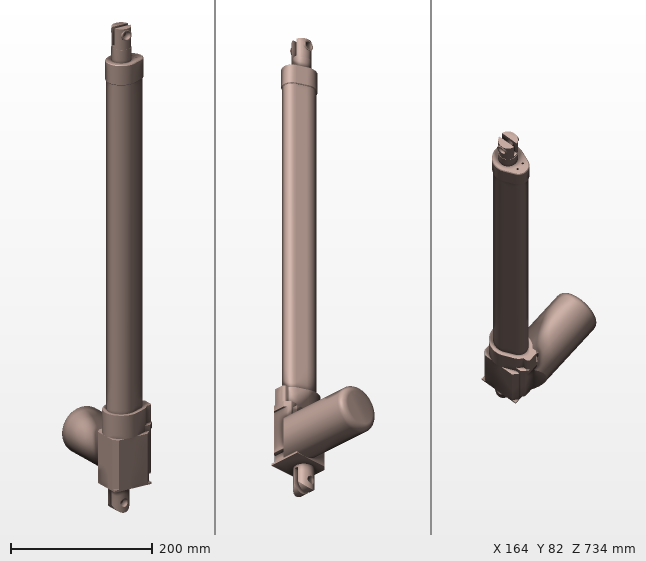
import cadquery as cq
import math


overall_width = 164.0
overall_depth = 82.0

total_height = 734.0
rod_clevis_bottom = 702.5
upper_collar_top = 682.5
upper_collar_bottom = 652.0
lower_collar_top = 152.0
housing_top = 117.0
housing_bottom = 39.0

tube_radius = 21.0
tube_nose_radius = 14.0
nose_offset = 19.0
upper_collar_wall = 1.5
lower_collar_wall = 6.0
upper_collar_chamfer = 1.1

rod_diameter = 28.5
rod_clevis_diameter = 28.0
rod_pin_diameter = 12.5
rod_bushing_diameter = 16.0
rod_bushing_half_length = 15.0
rod_pin_height = 724.0
rod_slot_bottom = 706.0
slot_width = 6.5

screw_diameter = 3.2
screw_depth = 6.0
screw_spacing = 12.0
screw_y = 22.0

housing_half_width = 26.0
housing_front = -27.0
housing_back = 34.5
housing_chamfer = 6.5
base_lip_height = 3.0

pad_half_width = 17.5
pad_back = 42.0
pad_bottom = 51.5
pad_bevel = 4.5
ledge_back = 45.5
ledge_bevel = 8.0
ledge_top = 125.5
lug_half_width = 10.0
lug_chamfer = 3.0

motor_diameter = 70.0
motor_left = tube_radius + lower_collar_wall - overall_width
motor_y = housing_front + overall_depth - motor_diameter / 2
motor_z = housing_bottom + motor_diameter / 2
motor_fillet = 9.5
motor_trim_x = -19.0

rear_clevis_diameter = 30.0
rear_clevis_y = -4.5
rear_pin_diameter = 12.5
rear_slot_top = 35.0


def cylinder_z(diameter, bottom, top, y=0.0):
    return cq.Workplane("XY", origin=(0, y, bottom)).circle(diameter / 2).extrude(top - bottom)


def cylinder_x(diameter, left, right, y, z):
    return cq.Workplane("YZ", origin=(left, y, z)).circle(diameter / 2).extrude(right - left)


def block(x_range, y_range, z_range):
    """Box between the given limits."""
    sizes = [high - low for low, high in (x_range, y_range, z_range)]
    corner = (x_range[0], y_range[0], z_range[0])
    return cq.Workplane("XY").box(*sizes, centered=False).translate(corner)


def teardrop(wall, bottom, top):
    """Prism of the tube outline grown outward by wall."""
    radius = tube_radius + wall
    nose_radius = tube_nose_radius + wall
    tangent = math.asin((radius - nose_radius) / nose_offset)
    flank_x = radius * math.cos(tangent)
    flank_y = radius * math.sin(tangent)
    nose_x = nose_radius * math.cos(tangent)
    nose_y = nose_offset + nose_radius * math.sin(tangent)
    return (
        cq.Workplane("XY", origin=(0, 0, bottom))
        .moveTo(flank_x, flank_y)
        .lineTo(nose_x, nose_y)
        .threePointArc((0, nose_offset + nose_radius), (-nose_x, nose_y))
        .lineTo(-flank_x, flank_y)
        .threePointArc((0, -radius), (flank_x, flank_y))
        .close()
        .extrude(top - bottom)
    )


def make_tube_and_collars():
    tube = teardrop(0, housing_top, upper_collar_top)
    upper = teardrop(upper_collar_wall, upper_collar_bottom, upper_collar_top)
    upper = upper.faces("<Z or >Z").chamfer(upper_collar_chamfer)
    lower = teardrop(lower_collar_wall, housing_top, lower_collar_top)
    screws = (
        cq.Workplane("XY", origin=(0, screw_y, upper_collar_top - screw_depth))
        .rarray(screw_spacing, 7, 2, 1)
        .circle(screw_diameter / 2)
        .extrude(screw_depth)
    )
    return tube.union(upper).union(lower).cut(screws)


def clevis_cuts(y, slot_bottom, slot_top, pin_diameter, pin_z, reach):
    """Fork slot through Y plus pin hole through X."""
    slot = block((-slot_width / 2, slot_width / 2), (y - reach, y + reach), (slot_bottom, slot_top))
    return slot.union(cylinder_x(pin_diameter, -reach, reach, y, pin_z))


def make_lift_rod():
    rod = cylinder_z(rod_diameter, upper_collar_bottom, rod_clevis_bottom)
    clevis = cylinder_z(rod_clevis_diameter, rod_clevis_bottom, total_height)
    reach = rod_bushing_half_length
    bushing = cylinder_x(rod_bushing_diameter, -reach, reach, 0, rod_pin_height)
    cuts = clevis_cuts(0, rod_slot_bottom, total_height, rod_pin_diameter, rod_pin_height, reach)
    return rod.union(clevis).union(bushing).cut(cuts)


def make_rear_clevis():
    radius = rear_clevis_diameter / 2
    post = cylinder_z(rear_clevis_diameter, 0, housing_bottom, rear_clevis_y)
    rounded = cylinder_x(rear_clevis_diameter, -radius, radius, rear_clevis_y, radius)
    shank = block(
        (-radius, radius),
        (rear_clevis_y - radius, rear_clevis_y + radius),
        (radius, housing_bottom),
    )
    cuts = clevis_cuts(rear_clevis_y, 0, rear_slot_top, rear_pin_diameter, radius, radius)
    return post.intersect(rounded.union(shank)).cut(cuts)


def make_housing():
    widths = (-housing_half_width, housing_half_width)
    depths = (housing_front, housing_back)
    body = block(widths, depths, (housing_bottom, housing_top))
    body = body.edges("|Z and (<Y or >X)").chamfer(housing_chamfer)
    lip = block(widths, depths, (housing_bottom, housing_bottom + base_lip_height))
    lip = lip.edges("|Z and <Y and <X").chamfer(housing_chamfer)
    return body.union(lip)


def beveled_block(half_width, back, bevel, bottom, top):
    """Block reaching back from the rod axis, its rear vertical edges beveled."""
    body = block((-half_width, half_width), (0, back), (bottom, top))
    return body.edges("|Z and >Y").chamfer(bevel)


def make_pad_and_lug():
    pad = beveled_block(pad_half_width, pad_back, pad_bevel, pad_bottom, housing_top)
    ledge = beveled_block(pad_half_width, ledge_back, ledge_bevel, housing_top, ledge_top)
    lug = beveled_block(lug_half_width, ledge_back, lug_chamfer, housing_top, lower_collar_top)
    return pad.union(ledge).union(lug)


def make_motor():
    motor = cylinder_x(motor_diameter, motor_left, housing_half_width, motor_y, motor_z)
    motor = motor.faces("<X").edges().fillet(motor_fillet)
    run = motor_diameter / 2
    rear = motor_y + run
    trim = (
        cq.Workplane("XY", origin=(0, 0, housing_bottom))
        .moveTo(motor_trim_x, rear)
        .lineTo(motor_trim_x + run, motor_y)
        .lineTo(housing_half_width, motor_y)
        .lineTo(housing_half_width, rear)
        .close()
        .extrude(motor_diameter)
    )
    return motor.cut(trim)


result = (
    make_housing()
    .union(make_motor())
    .union(make_pad_and_lug())
    .union(make_tube_and_collars())
    .union(make_lift_rod())
    .union(make_rear_clevis())
)